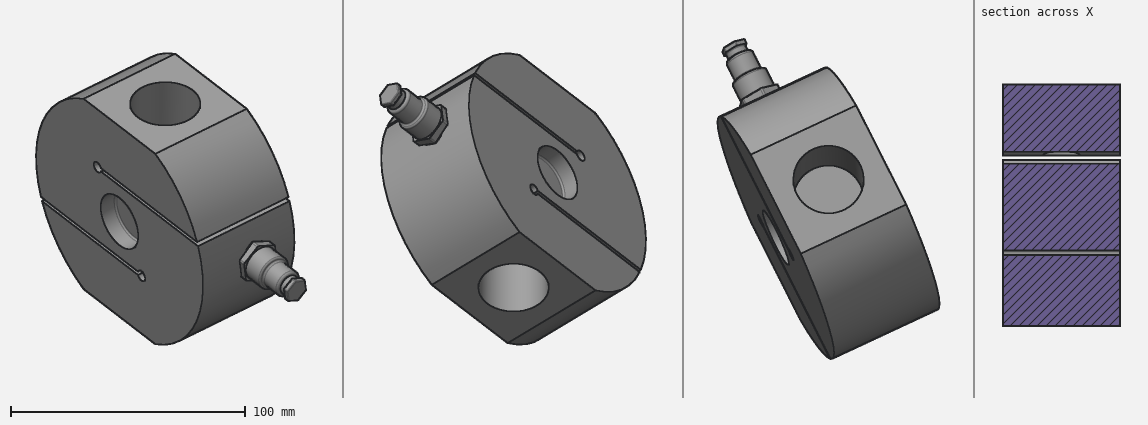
import cadquery as cq
import math

disc_radius = 57.0
disc_thickness = 50.0
flat_height = 51.5

slot_offset = 20.25
slot_width = 1.8
relief_offset = 15.0
relief_diameter = 5.0

bore_diameter = 30.0

pocket_diameter = 25.6
pocket_depth = 8.0
pocket_floor_fillet = 0.8

gland_y = 4.0
gland_turn = 7.0
base_start = 56.0
base_end = 60.0
base_across_flats = 17.0
base_corner_fillet = 1.0
sleeve_radius = 8.0
sleeve_end = 68.6
collar_radius = 6.25
collar_end = 79.4
collar_fillet = 1.3
shoulder_fillet = (sleeve_radius - collar_radius) / 2
neck_radius = 4.65
neck_fillet = 0.4
nut_start = 82.5
nut_end = 84.75
nut_across_flats = 10.0
nut_corner_fillet = 0.5
nut_end_fillet = 0.4


def hexagon_bar(across_flats, corner_fillet, start, end):
    """Hexagonal bar with rounded corners along the gland axis, from x = start to x = end."""
    corner_circle_diameter = across_flats / math.cos(math.pi / 6)
    corner_angle = gland_turn + 30
    return (
        cq.Workplane("YZ", origin=(start, gland_y, 0))
        .transformed(rotate=(0, 0, corner_angle))
        .polygon(6, corner_circle_diameter)
        .extrude(end - start)
        .edges("|X")
        .fillet(corner_fillet)
    )


def base_hexagon():
    return hexagon_bar(base_across_flats, base_corner_fillet, base_start, base_end)


def cylinder_across(x, z, diameter):
    """Round cutter through the whole thickness of the disc."""
    return (
        cq.Workplane("XZ", origin=(x, 0, z))
        .circle(diameter / 2)
        .extrude(disc_thickness / 2, both=True)
    )


def slot_cutter(side):
    """Slot from its round relief out through the rim; side is +1 (upper) or -1 (lower)."""
    z = side * slot_offset
    relief_x = -side * relief_offset
    slot_length = relief_offset + disc_radius
    slot = cq.Workplane("XY").box(slot_length, disc_thickness, slot_width)
    slot = slot.translate((relief_x + side * slot_length / 2, 0, z))
    return slot.union(cylinder_across(relief_x, z, relief_diameter))


def bore_cutter(side):
    """Bore from a flat down to the middle of the slot behind it."""
    return (
        cq.Workplane("XY", origin=(0, 0, side * slot_offset))
        .circle(bore_diameter / 2)
        .extrude(side * (flat_height - slot_offset))
    )


def pocket_cutter(side):
    """Round pocket with a rounded floor edge, sunk into the face at y = side * half thickness."""
    floor_y = side * (disc_thickness / 2 - pocket_depth)
    floor_edge = "<Y" if side > 0 else ">Y"
    return (
        cq.Workplane("XZ", origin=(0, floor_y, 0))
        .circle(pocket_diameter / 2)
        .extrude(-side * pocket_depth)
        .faces(floor_edge)
        .edges()
        .fillet(pocket_floor_fillet)
    )


def make_load_cell():
    cell = cylinder_across(0, 0, 2 * disc_radius)
    cell = cell.intersect(cq.Workplane("XY").box(2 * disc_radius, disc_thickness, 2 * flat_height))
    for side in (1, -1):
        cell = cell.cut(slot_cutter(side))
        cell = cell.cut(bore_cutter(side))
        cell = cell.cut(pocket_cutter(side))
    return cell.cut(base_hexagon())


def stepped_barrel():
    """Turned part of the gland: sleeve, collar and neck, from the base hexagon to the nut."""
    shoulder_middle = sleeve_end + shoulder_fillet
    shoulder_finish = shoulder_middle + shoulder_fillet
    collar_round_start = collar_end - collar_fillet
    neck_end = nut_start - neck_fillet
    return (
        cq.Workplane("XY", origin=(0, gland_y, 0))
        .moveTo(base_end, 0)
        .lineTo(base_end, sleeve_radius)
        .lineTo(sleeve_end, sleeve_radius)
        .tangentArcPoint((shoulder_middle, sleeve_radius - shoulder_fillet), relative=False)
        .tangentArcPoint((shoulder_finish, collar_radius), relative=False)
        .lineTo(collar_round_start, collar_radius)
        .tangentArcPoint((collar_end, collar_radius - collar_fillet), relative=False)
        .lineTo(collar_end, neck_radius)
        .lineTo(neck_end, neck_radius)
        .tangentArcPoint((nut_start, neck_radius + neck_fillet), relative=False)
        .lineTo(nut_start, 0)
        .close()
        .revolve(360, (0, 0, 0), (1, 0, 0))
    )


def end_nut():
    nut = hexagon_bar(nut_across_flats, nut_corner_fillet, nut_start, nut_end)
    return nut.faces(">X").edges().fillet(nut_end_fillet)


def make_cable_gland():
    return base_hexagon().union(stepped_barrel()).union(end_nut())


load_cell = make_load_cell()
cable_gland = make_cable_gland()

result = cq.Compound.makeCompound([load_cell.val(), cable_gland.val()])